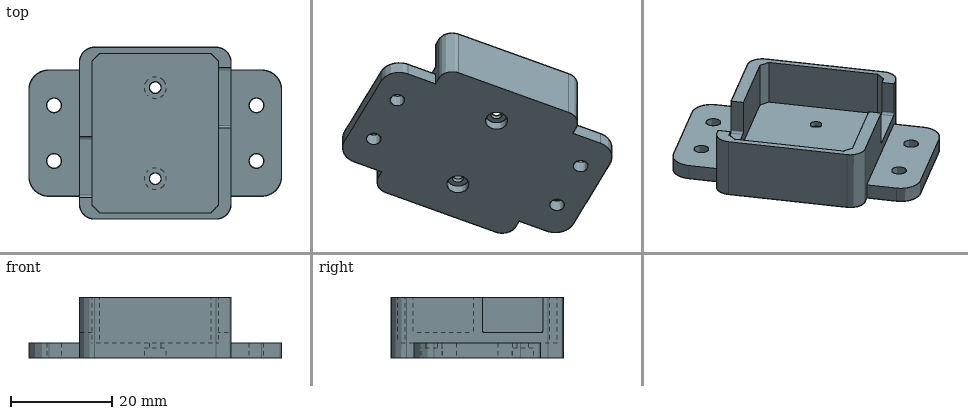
import cadquery as cq

plate_length = 50.0
plate_width = 25.0
plate_thickness = 3.0
plate_corner_radius = 4.0

box_length = 30.0
box_width = 34.0
box_height = 12.0
box_corner_radius = 3.0

side_wall = 2.5
end_wall = 1.25
floor_thickness = 3.0
cavity_chamfer = 1.5

notch_width = 12.0
notch_sill_height = 5.0
notch_fillet = 0.5
left_notch_center = -6.7
right_notch_center = 7.0

ear_hole_diameter = 2.85
ear_hole_spacing_x = 40.0
ear_hole_spacing_y = 11.0
floor_hole_diameter = 2.25
floor_hole_spacing = 18.0

counterbore_diameter = 4.3
counterbore_depth = 2.0


def rounded_block(length, width, height, corner_radius):
    """Block standing on Z = 0 with rounded vertical corners."""
    block = cq.Workplane("XY").box(length, width, height, centered=(True, True, False))
    return block.edges("|Z").fillet(corner_radius)


def cavity():
    """Pocket volume from the floor up to the open top."""
    return (
        cq.Workplane("XY")
        .workplane(offset=floor_thickness)
        .rect(box_length - 2 * side_wall, box_width - 2 * end_wall)
        .extrude(box_height - floor_thickness)
        .edges("|Z")
        .chamfer(cavity_chamfer)
    )


def wall_notch(side, center_y):
    """Notch volume through one side wall; side is -1 for -X or +1 for +X."""
    wall_center_x = side * (box_length - side_wall) / 2
    return (
        cq.Workplane("XY")
        .workplane(offset=notch_sill_height)
        .center(wall_center_x, center_y)
        .rect(side_wall, notch_width)
        .extrude(box_height - notch_sill_height)
        .edges("|X and <Z")
        .fillet(notch_fillet)
    )


def hole_grid(spacing_x, spacing_y, count_x, count_y, diameter, depth):
    """Grid of cylinders, centred on the origin, rising from the underside."""
    return (
        cq.Workplane("XY")
        .rarray(spacing_x, spacing_y, count_x, count_y)
        .circle(diameter / 2)
        .extrude(depth)
    )


plate = rounded_block(plate_length, plate_width, plate_thickness, plate_corner_radius)
box = rounded_block(box_length, box_width, box_height, box_corner_radius)
ear_holes = hole_grid(ear_hole_spacing_x, ear_hole_spacing_y, 2, 2, ear_hole_diameter, plate_thickness)
floor_holes = hole_grid(0.5, floor_hole_spacing, 1, 2, floor_hole_diameter, floor_thickness)
counterbores = hole_grid(0.5, floor_hole_spacing, 1, 2, counterbore_diameter, counterbore_depth)

result = (
    plate.union(box)
    .cut(cavity())
    .cut(wall_notch(-1, left_notch_center))
    .cut(wall_notch(1, right_notch_center))
    .cut(ear_holes)
    .cut(floor_holes)
    .cut(counterbores)
)